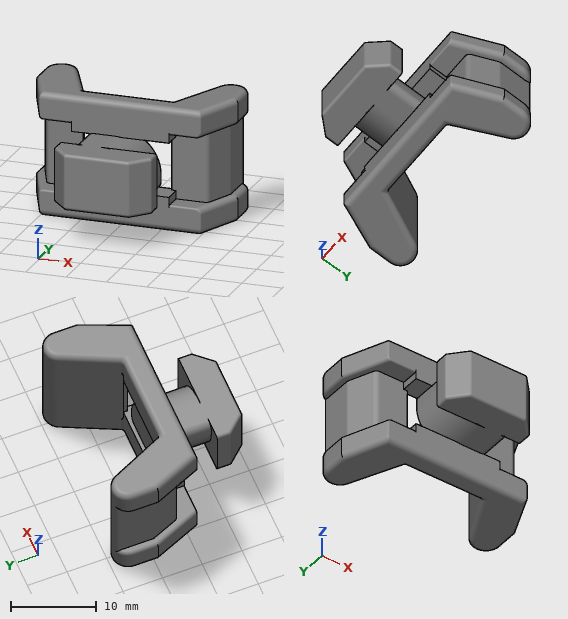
import cadquery as cq
import math

half_width = 12.5
half_height = 7.62
front_half_width = 10.0
shoulder_y = 5.95
tip_radius = 2.0
tip_x = half_width - tip_radius
tip_y = 8.95
floor_half_width = 5.5
floor_y = 2.98

flange_inner_z = 4.38
outer_round = 0.75
inner_round_left = 0.48
inner_round_right = 0.7
front_round = 0.22
floor_corner_round = 0.5

recess = 1.0
arm_front_y = 2.48
arm_corner_round = 0.7
arm_tip_round = 0.5
arm_half_height = half_height - outer_round

lip_half_width = 6.05
lip_inner_z = 3.35

stem_half_width = 4.2
stem_half_height = 3.42
stem_turn_radius = 5.0
stem_corner_radius = 0.98
stem_end_y = arm_front_y

head_half_width = lip_half_width
head_back_y = -4.12
head_front_y = -8.1
head_chamfer_y = -5.85
head_front_half_width = 4.0
head_round = 0.38

pick_reach = 0.5

tip_dx = tip_x - floor_half_width
tip_dy = tip_y - floor_y
inner_lean = math.atan2(tip_dx, tip_dy) - math.asin(tip_radius / math.hypot(tip_dx, tip_dy))
tangent_x = tip_x - tip_radius * math.cos(inner_lean)
tangent_y = tip_y + tip_radius * math.sin(inner_lean)

flank_lean = math.atan2(half_width - front_half_width, shoulder_y)


def flange_blank():
    """Sharp-edged upper flange."""
    tip_top = tip_y + tip_radius
    return (
        cq.Workplane("XY", origin=(0, 0, flange_inner_z))
        .moveTo(-front_half_width, 0)
        .lineTo(front_half_width, 0)
        .lineTo(half_width, shoulder_y)
        .lineTo(half_width, tip_y)
        .threePointArc((tip_x, tip_top), (tangent_x, tangent_y))
        .lineTo(floor_half_width, floor_y)
        .lineTo(-floor_half_width, floor_y)
        .lineTo(-tangent_x, tangent_y)
        .threePointArc((-tip_x, tip_top), (-half_width, tip_y))
        .lineTo(-half_width, shoulder_y)
        .close()
        .extrude(half_height - flange_inner_z)
    )


def edges_at(body, x, y, z):
    """Edges of the body whose centres lie close to the given point."""
    low = (x - pick_reach, y - pick_reach, z - pick_reach)
    high = (x + pick_reach, y + pick_reach, z + pick_reach)
    return body.edges(cq.selectors.BoxSelector(low, high))


def upper_flange():
    """Flange with its outer rim, inner rim and corners rounded."""
    body = flange_blank().faces(">Z").edges().fillet(outer_round)

    flank_mid_x = (front_half_width + half_width) / 2
    flank_mid_y = shoulder_y / 2
    side_mid_y = (shoulder_y + tip_y) / 2
    for side, radius in ((-1, inner_round_left), (1, inner_round_right)):
        flank = edges_at(body, side * flank_mid_x, flank_mid_y, flange_inner_z)
        straight = edges_at(body, side * half_width, side_mid_y, flange_inner_z)
        body = flank.add(straight).fillet(radius)

    body = edges_at(body, 0, 0, flange_inner_z).fillet(front_round)

    upright_mid_z = (flange_inner_z + half_height - outer_round) / 2
    for side in (-1, 1):
        corner = edges_at(body, side * floor_half_width, floor_y, upright_mid_z)
        body = corner.fillet(floor_corner_round)
    return body


def right_arm():
    """Arm between the flanges: flush with them inside, set back from them outside and at the front."""
    side_x = half_width - recess
    side_tip_y = tip_y + math.sqrt(tip_radius**2 - (side_x - tip_x) ** 2)
    side_shoulder_y = shoulder_y + recess * math.tan(flank_lean / 2)
    front_x = side_x - (side_shoulder_y - arm_front_y) * math.tan(flank_lean)
    body = (
        cq.Workplane("XY", origin=(0, 0, -arm_half_height))
        .moveTo(floor_half_width, arm_front_y)
        .lineTo(front_x, arm_front_y)
        .lineTo(side_x, side_shoulder_y)
        .lineTo(side_x, side_tip_y)
        .threePointArc((tip_x, tip_y + tip_radius), (tangent_x, tangent_y))
        .lineTo(floor_half_width, floor_y)
        .close()
        .extrude(2 * arm_half_height)
    )
    corners = ((front_x, arm_front_y), (side_x, side_shoulder_y))
    for x, y in corners:
        body = edges_at(body, x, y, 0).fillet(arm_corner_round)
    return edges_at(body, side_x, side_tip_y, 0).fillet(arm_tip_round)


def upper_lip():
    """Thickened middle of the upper flange, reaching in to the stem."""
    height = flange_inner_z + outer_round - lip_inner_z
    base = cq.Workplane("XY", origin=(0, 0, lip_inner_z))
    front = base.box(2 * lip_half_width, arm_front_y, height, centered=(True, False, False))
    back = base.box(2 * floor_half_width, floor_y, height, centered=(True, False, False))
    return front.union(back)


def stem():
    """Quarter-turn stem: two opposite corners tight, the other two swept wide."""
    w = stem_half_width
    h = stem_half_height
    tight = stem_corner_radius
    wide = stem_turn_radius
    tight_mid = tight * (1 - math.sqrt(0.5))
    wide_mid = wide * (1 - math.sqrt(0.5))
    return (
        cq.Workplane("XZ", origin=(0, stem_end_y, 0))
        .moveTo(tight - w, h)
        .lineTo(w - wide, h)
        .threePointArc((w - wide_mid, h - wide_mid), (w, h - wide))
        .lineTo(w, tight - h)
        .threePointArc((w - tight_mid, tight_mid - h), (w - tight, -h))
        .lineTo(wide - w, -h)
        .threePointArc((wide_mid - w, wide_mid - h), (-w, wide - h))
        .lineTo(-w, h - tight)
        .threePointArc((tight_mid - w, h - tight_mid), (tight - w, h))
        .close()
        .extrude(stem_end_y - head_back_y)
    )


def head():
    """T-head with two chamfered front corners and every edge but the back rim rounded."""
    return (
        cq.Workplane("XY", origin=(0, 0, -stem_half_height))
        .moveTo(-head_half_width, head_back_y)
        .lineTo(-head_half_width, head_chamfer_y)
        .lineTo(-head_front_half_width, head_front_y)
        .lineTo(head_front_half_width, head_front_y)
        .lineTo(head_half_width, head_chamfer_y)
        .lineTo(head_half_width, head_back_y)
        .close()
        .extrude(2 * stem_half_height)
        .edges("not(>Y)")
        .fillet(head_round)
    )


def bracket():
    """Two flanges with their lips, joined by the two arms."""
    upper = upper_flange().union(upper_lip())
    arm = right_arm()
    return upper.union(upper.mirror("XY")).union(arm).union(arm.mirror("YZ"))


result = bracket().union(stem()).union(head())